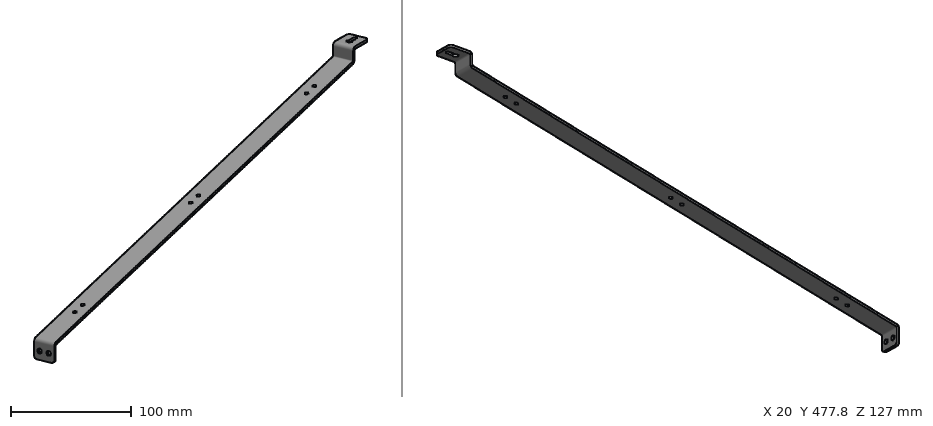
import cadquery as cq
import math

strip_width = 20.0
thickness = 2.5
inner_bend_radius = 1.0
outer_bend_radius = inner_bend_radius + thickness
slope_angle = math.radians(12.0)

total_length = 477.79
total_height = 127.01
top_flange_length = 23.5
end_flange_height = 18.0

top_corner_radius = 3.0
end_corner_radius = 3.0

arm_hole_diameter = 3.2
arm_hole_spacing = 12.0
arm_pair_pitch = 180.0
arm_pair_count = 3
arm_pair_middle = 249.0

end_hole_diameter = 4.3
end_hole_spacing = 9.0
end_hole_edge_distance = 8.0

keyhole_slot_width = 3.2
keyhole_end_distance = 3.3
keyhole_head_diameter = 5.0
keyhole_head_center = 13.5

step_y = -top_flange_length
end_y = -total_length
bottom_z = -total_height
arm_end_z = bottom_z + end_flange_height
arm_slope = math.tan(slope_angle)
cut_depth = 4 * thickness


def top_side_z(y):
    """Height of the sloped arm's upper plane at a given y."""
    return arm_end_z + (y - end_y) * arm_slope


def underside_z(y):
    """Height of the sloped arm's lower plane at a given y."""
    return top_side_z(y) - thickness / math.cos(slope_angle)


def bent_strip():
    """Sharp-cornered side profile, extruded across the width and rounded at the bends."""
    step_back_y = step_y + thickness
    end_back_y = end_y + thickness
    top_outer = (step_y, 0)
    step_inner = (step_y, top_side_z(step_y))
    end_outer = (end_y, arm_end_z)
    end_inner = (end_back_y, underside_z(end_back_y))
    step_outer = (step_back_y, underside_z(step_back_y))
    top_inner = (step_back_y, -thickness)
    outline = [
        (0, 0), top_outer, step_inner, end_outer, (end_y, bottom_z),
        (end_back_y, bottom_z), end_inner, step_outer, top_inner, (0, -thickness),
    ]
    strip = cq.Workplane("YZ").polyline(outline).close().extrude(strip_width / 2, both=True)
    strip = round_corners(strip, [top_outer, end_outer, step_outer], outer_bend_radius)
    return round_corners(strip, [top_inner, end_inner, step_inner], inner_bend_radius)


def round_corners(body, corners, radius):
    """Fillet the edges along X that pass through the given (y, z) corners."""
    for y, z in corners:
        body = body.edges(cq.selectors.NearestToPointSelector((0, y, z))).fillet(radius)
    return body


def round_free_ends(body):
    """Round the corners of the top flange and of the end flange."""
    body = body.faces(">Y").edges("|Z").fillet(top_corner_radius)
    return body.faces("<Z").edges("|Y").fillet(end_corner_radius)


def arm_holes():
    """Equally spaced pairs of holes, square to the sloped arm."""
    middle = (0, -arm_pair_middle, top_side_z(-arm_pair_middle))
    normal = (0, -math.sin(slope_angle), math.cos(slope_angle))
    plane = cq.Plane(origin=middle, xDir=(1, 0, 0), normal=normal)
    centers = []
    for pair in range(arm_pair_count):
        pair_center = (pair - (arm_pair_count - 1) / 2) * arm_pair_pitch
        for side in (-1, 1):
            centers.append((0, pair_center + side * arm_hole_spacing / 2))
    holes = cq.Workplane(plane).pushPoints(centers).circle(arm_hole_diameter / 2)
    return holes.extrude(cut_depth / 2, both=True)


def end_flange_holes():
    """Two holes side by side through the end flange."""
    hole_z = bottom_z + end_hole_edge_distance
    centers = [(side * end_hole_spacing / 2, hole_z) for side in (-1, 1)]
    holes = cq.Workplane("XZ", origin=(0, end_y, 0)).pushPoints(centers)
    return holes.circle(end_hole_diameter / 2).extrude(cut_depth / 2, both=True)


def keyhole():
    """Narrow slot running from the round head toward the free end of the flange."""
    head_y = -keyhole_head_center
    slot_length = keyhole_head_center - keyhole_end_distance
    slot = cq.Workplane("XY").center(0, head_y + slot_length / 2)
    slot = slot.slot2D(slot_length, keyhole_slot_width, 90)
    head = cq.Workplane("XY").center(0, head_y).circle(keyhole_head_diameter / 2)
    return slot.extrude(cut_depth / 2, both=True).union(head.extrude(cut_depth / 2, both=True))


result = round_free_ends(bent_strip())
result = result.cut(arm_holes()).cut(end_flange_holes()).cut(keyhole())